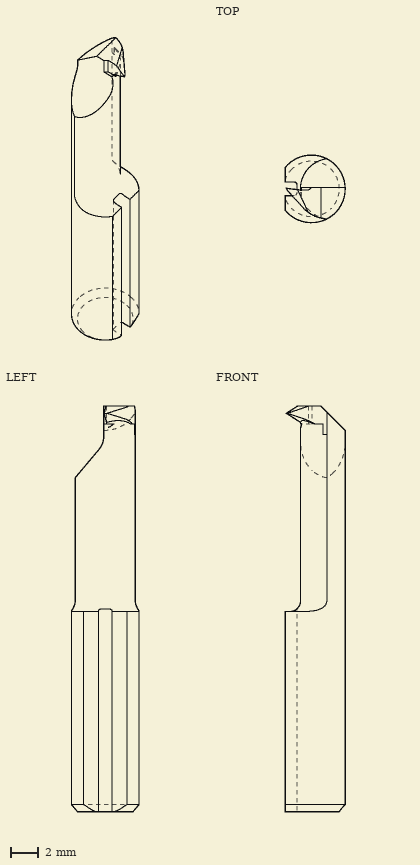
import cadquery as cq
import math

LENGTH = 30.0
SHANK_RADIUS = 2.505
FLAT_X = -1.935
SHOULDER_Z = 14.82
END_CHAMFER_WIDTH = 0.45
END_CHAMFER_HEIGHT = 0.55
SLOT_WIDTH = 1.0
SLOT_FLOOR_X = -1.08
SLOT_CORNER_RADIUS = 0.18

NECK_RADIUS = 2.25
NECK_X = 1.45
NECK_FILLET = 0.78

RAKE_Y = 0.12
RAKE_BOTTOM_Z = 27.75
RUNOUT_ANGLE = 50.0
RUNOUT_RADIUS = 1.5

TIP_X = -1.9
TIP_Z = 29.45
TIP_HALF_ANGLE = 34.6
TIP_RELIEF_ANGLE = 15.0
HEAD_BOTTOM_Z = 28.68
HEAD_CORNER = (-0.5, -1.5)
HEAD_ARC_MIDDLE = (0.25, -2.0)
STRIP_X = 0.87
STRIP_BOTTOM_Z = 27.9
BACK_CHAMFER = 1.8

GROOVE_EDGE_Y = 0.05
GROOVE_FLOOR_Y = -0.1
GROOVE_FLOOR_START_X = -0.75
GROOVE_FLOOR_END_X = -0.2
GROOVE_END_X = 0.03

NOTCH_DEPTH = 0.1
NOTCH_HEIGHT = 0.3
NOTCH_WIDTH = 1.05


def shank_cylinder(height):
    return cq.Workplane("XY").circle(SHANK_RADIUS).extrude(height)


def make_shank():
    end_radius = SHANK_RADIUS - END_CHAMFER_WIDTH
    bar = (
        cq.Workplane("XZ")
        .polyline([
            (0, 0),
            (end_radius, 0),
            (SHANK_RADIUS, END_CHAMFER_HEIGHT),
            (SHANK_RADIUS, SHOULDER_Z),
            (0, SHOULDER_Z),
        ])
        .close()
        .revolve(360, (0, 0, 0), (0, 1, 0))
    )
    beyond_flat = cq.Workplane("XY").box(
        SHANK_RADIUS, 2 * SHANK_RADIUS, LENGTH, centered=(False, True, False)
    ).translate((FLAT_X - SHANK_RADIUS, 0, 0))
    return bar.cut(beyond_flat)


def make_neck():
    """Revolve the neck with its root fillet, then trim it to the shank circle."""
    root_radius = NECK_RADIUS + NECK_FILLET
    bend = NECK_FILLET * (1 - math.sqrt(0.5))
    neck = (
        cq.Workplane("XZ", origin=(NECK_X, 0, SHOULDER_Z))
        .lineTo(root_radius, 0)
        .threePointArc((NECK_RADIUS + bend, bend), (NECK_RADIUS, NECK_FILLET))
        .lineTo(NECK_RADIUS, LENGTH - SHOULDER_Z)
        .lineTo(0, LENGTH - SHOULDER_Z)
        .close()
        .revolve(360, (0, 0, 0), (0, 1, 0))
    )
    return neck.intersect(shank_cylinder(LENGTH))


def make_slot():
    """Slot along the shank that also runs through the neck fillet."""
    slot_start_x = FLAT_X - 0.3
    return (
        cq.Workplane("XY")
        .box(
            SLOT_FLOOR_X - slot_start_x, SLOT_WIDTH, SHOULDER_Z + NECK_FILLET,
            centered=(False, True, False),
        )
        .edges("|Z and >X")
        .fillet(SLOT_CORNER_RADIUS)
        .translate((slot_start_x, 0, 0))
    )


def make_relief_notch():
    """Wedge with a sloping floor, cut into the front of the neck under the head."""
    neck_front_x = NECK_X - NECK_RADIUS
    return (
        cq.Workplane("XZ", origin=(0, RAKE_Y, 0))
        .polyline([
            (neck_front_x, HEAD_BOTTOM_Z - NOTCH_HEIGHT),
            (neck_front_x + NOTCH_DEPTH, HEAD_BOTTOM_Z),
            (neck_front_x, HEAD_BOTTOM_Z),
        ])
        .close()
        .extrude(NOTCH_WIDTH)
    )


def head_outline(bottom_z):
    """Prism of the head seen from above, from the tip round to where neck and shank meet."""
    meet_x = (SHANK_RADIUS**2 - NECK_RADIUS**2 + NECK_X**2) / (2 * NECK_X)
    meet_y = -math.sqrt(SHANK_RADIUS**2 - meet_x**2)
    return (
        cq.Workplane("XY", origin=(0, 0, bottom_z))
        .moveTo(TIP_X, RAKE_Y)
        .lineTo(TIP_X, 0)
        .lineTo(*HEAD_CORNER)
        .threePointArc(HEAD_ARC_MIDDLE, (meet_x, meet_y))
        .lineTo(meet_x, RAKE_Y)
        .close()
        .extrude(LENGTH - bottom_z)
    )


def make_head():
    """Head outline limited by a V tooth that narrows away from the rake face."""
    tooth_depth = 3 * SHANK_RADIUS
    tooth_half_height = tooth_depth * math.tan(math.radians(TIP_HALF_ANGLE))
    tooth = (
        cq.Workplane("XZ", origin=(TIP_X, RAKE_Y, TIP_Z))
        .polyline([(0, 0), (tooth_depth, tooth_half_height), (tooth_depth, -tooth_half_height)])
        .close()
        .extrude(SHANK_RADIUS + RAKE_Y, taper=TIP_RELIEF_ANGLE)
    )
    return head_outline(HEAD_BOTTOM_Z).intersect(tooth)


def make_strip():
    """Narrow strip of the head surface that continues down beside the neck."""
    block = cq.Workplane("XY").box(
        NECK_X - STRIP_X, SHANK_RADIUS, LENGTH - STRIP_BOTTOM_Z, centered=False
    ).translate((STRIP_X, -SHANK_RADIUS, STRIP_BOTTOM_Z))
    return head_outline(STRIP_BOTTOM_Z).intersect(block)


def make_half_cut():
    """Removed half above the rake face, running out through an arc and a slope."""
    angle = math.radians(RUNOUT_ANGLE)
    turn = math.pi / 2 - angle

    def arc_point(a):
        return (
            RAKE_Y + RUNOUT_RADIUS * (1 - math.cos(a)),
            RAKE_BOTTOM_Z - RUNOUT_RADIUS * math.sin(a),
        )

    arc_end = arc_point(turn)
    outer_y = SHANK_RADIUS + 0.3
    outer_z = arc_end[1] - (outer_y - arc_end[0]) * math.tan(angle)
    return (
        cq.Workplane("YZ")
        .moveTo(RAKE_Y, LENGTH)
        .lineTo(RAKE_Y, RAKE_BOTTOM_Z)
        .threePointArc(arc_point(turn / 2), arc_end)
        .lineTo(outer_y, outer_z)
        .lineTo(outer_y, LENGTH)
        .close()
        .extrude(2 * SHANK_RADIUS, both=True)
    )


def make_back_chamfer():
    return (
        cq.Workplane("XZ")
        .polyline([
            (SHANK_RADIUS - BACK_CHAMFER, LENGTH),
            (SHANK_RADIUS, LENGTH - BACK_CHAMFER),
            (SHANK_RADIUS, LENGTH),
        ])
        .close()
        .extrude(SHANK_RADIUS, both=True)
    )


def make_chip_groove():
    return (
        cq.Workplane("XY", origin=(0, 0, HEAD_BOTTOM_Z))
        .polyline([
            (TIP_X, RAKE_Y),
            (TIP_X, GROOVE_EDGE_Y),
            (GROOVE_FLOOR_START_X, GROOVE_FLOOR_Y),
            (GROOVE_FLOOR_END_X, GROOVE_FLOOR_Y),
            (GROOVE_END_X, RAKE_Y),
        ])
        .close()
        .extrude(LENGTH - HEAD_BOTTOM_Z)
    )


result = make_shank().union(make_neck()).cut(make_slot())
result = result.cut(make_relief_notch())
result = result.union(make_head()).union(make_strip())
result = result.cut(make_half_cut()).cut(make_back_chamfer()).cut(make_chip_groove())